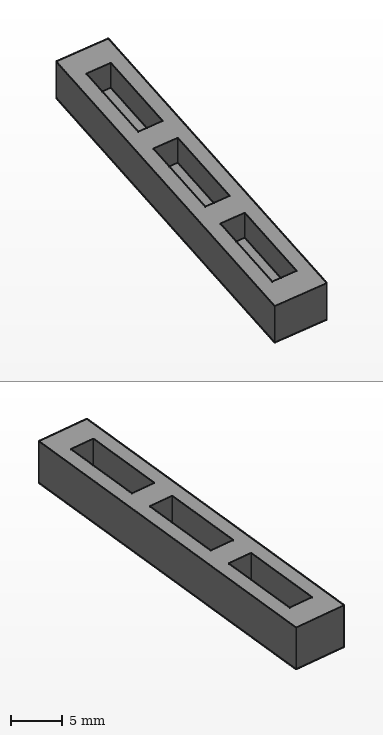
import cadquery as cq

LENGTH = 40.0
WIDTH = 6.0
HEIGHT = 5.0

POCKET_COUNT = 3
END_WALL = 3.0
SIDE_WALL = 1.6
FLOOR = SIDE_WALL
POCKET_GAP = 2.75
POCKET_LENGTH = (LENGTH - 2 * END_WALL - (POCKET_COUNT - 1) * POCKET_GAP) / POCKET_COUNT
POCKET_WIDTH = WIDTH - 2 * SIDE_WALL

STRIP_START = 12.1
PATCH_START = 15.1

PAD_LENGTH = 2.0
PAD_WIDTH = 1.5
PAD_STARTS = (0.0, STRIP_START, PATCH_START, LENGTH - PAD_LENGTH)

LEFT_AREA_TOP_LENGTH = 4.7
LEFT_AREA_BOTTOM_LENGTH = 9.8
LEFT_AREA_STEP_DEPTH = 2.0
STRIP_LENGTH = 2.4
PATCH_LENGTH = 7.85
PATCH_DEPTH = 1.85
RIGHT_AREA_LENGTH = 5.0


def make_block():
    """Plain block with the row of pockets sunk from the top."""
    block = cq.Workplane("XY").box(LENGTH, WIDTH, HEIGHT, centered=False)
    for index in range(POCKET_COUNT):
        start = END_WALL + index * (POCKET_LENGTH + POCKET_GAP)
        pocket = (
            cq.Workplane("XY", origin=(start, SIDE_WALL, FLOOR))
            .box(POCKET_LENGTH, POCKET_WIDTH, HEIGHT - FLOOR, centered=False)
        )
        block = block.cut(pocket)
    return block


def flat_face(points):
    """Flat face bounded by straight lines through the points."""
    return cq.Face.makeFromWires(cq.Wire.makePolygon(points, close=True))


def top_pad(start):
    """Rectangle on the top face, against its front edge."""
    end = start + PAD_LENGTH
    corners = [(start, 0), (end, 0), (end, PAD_WIDTH), (start, PAD_WIDTH)]
    return flat_face([cq.Vector(x, y, HEIGHT) for x, y in corners])


def front_area(outline):
    """Face on the front of the block, from an outline of (x, z) points."""
    return flat_face([cq.Vector(x, 0, z) for x, z in outline])


def front_rectangle(start, length, bottom=0.0):
    """Rectangle on the front face, reaching up to the top edge."""
    end = start + length
    return front_area([(start, bottom), (end, bottom), (end, HEIGHT), (start, HEIGHT)])


def left_area():
    """Stepped area at the left end of the front face, longer at the bottom."""
    step = HEIGHT - LEFT_AREA_STEP_DEPTH
    return front_area([
        (0, 0),
        (LEFT_AREA_BOTTOM_LENGTH, 0),
        (LEFT_AREA_BOTTOM_LENGTH, step),
        (LEFT_AREA_TOP_LENGTH, step),
        (LEFT_AREA_TOP_LENGTH, HEIGHT),
        (0, HEIGHT),
    ])


contacts = [top_pad(start) for start in PAD_STARTS]
contacts += [
    left_area(),
    front_rectangle(STRIP_START, STRIP_LENGTH),
    front_rectangle(PATCH_START, PATCH_LENGTH, bottom=HEIGHT - PATCH_DEPTH),
    front_rectangle(LENGTH - RIGHT_AREA_LENGTH, RIGHT_AREA_LENGTH),
]

divided_block = make_block().val().split(*contacts)
result = cq.Workplane("XY").newObject([divided_block.Solids()[0]])